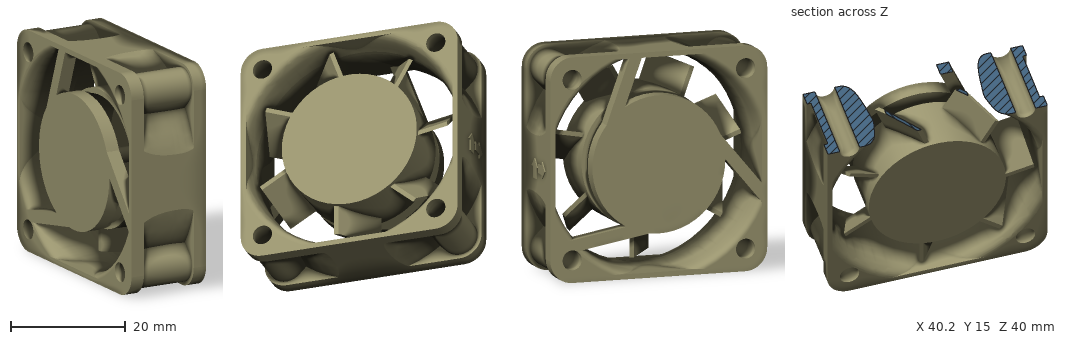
import cadquery as cq
import math


side = 40.0
depth = 15.0
corner_radius = 4.0
flange_thickness = 2.5
wall_thickness = 0.92
screw_offset = 16.0
screw_radius = 1.75
post_radius = 3.3

front_y = -depth / 2
rear_y = depth / 2
gap_front_y = front_y + flange_thickness
gap_rear_y = rear_y - flange_thickness
opening_side = side - 2 * wall_thickness

throat_front_y = 1.45
throat_rear_y = 2.4
throat_radius = 18.95
duct_radius = 20.62
flare = 2.0
flare_start_reach = 0.7
flare_end_bulge = 0.6
bore_start_bulge = 0.4
duct_start_bulge = 0.0

plate_radius = 12.25
plate_thickness = flange_thickness
plate_rear_y = front_y + plate_thickness
strut_count = 3
strut_width = 2.17
strut_offset = 10.57
strut_tilt = 20.0

arrow_height = 0.2
arrow_length = 3.58
arrow_head_length = 1.53
arrow_head_width = 3.05
arrow_tail_width = 1.6
arrow_middle_z = -0.52
upright_arrow_y = 0.35

cup_radius = 12.45
cup_wall = 1.0
cup_front_y = -2.37
cup_floor_y = 6.4
cup_inner_radius = cup_radius - cup_wall
cup_rear_y = cup_floor_y + cup_wall
shaft_radius = 1.4
blade_count = 7
first_blade_angle = -90.0
blade_step = -50.0
blade_tip_radius = 17.6
blade_front_y = -0.8
blade_rear_y = 6.65
blade_span = 6.1
blade_edge = 0.8


def facing_front(y):
    """Sketch plane across the fan axis; a negative extrusion runs toward the rear."""
    return cq.Workplane("XZ", origin=(0, y, 0))


def square_block(y_start, length, width):
    return facing_front(y_start).rect(width, width).extrude(-length)


def flare_curve(radius, start_bulge, throat_y, face_y):
    """Control points of the curve that opens slowly from the throat and turns outward at the face."""
    return [
        (radius, throat_y),
        (radius + start_bulge, throat_y + flare_start_reach * (face_y - throat_y)),
        (radius + flare_end_bulge, face_y),
        (radius + flare, face_y),
    ]


def flared_solid(radius, start_bulge):
    """Solid of revolution with a short straight throat and a flare to each face."""
    front_curve = flare_curve(radius, start_bulge, throat_front_y, front_y)
    rear_curve = flare_curve(radius, start_bulge, throat_rear_y, rear_y)
    return (
        cq.Workplane("XY")
        .moveTo(0, front_y)
        .lineTo(radius + flare, front_y)
        .bezier(front_curve[::-1])
        .lineTo(radius, throat_rear_y)
        .bezier(rear_curve)
        .lineTo(0, rear_y)
        .close()
        .revolve(360, (0, 0), (0, 1))
    )


def make_flange(y_start):
    return square_block(y_start, flange_thickness, side).edges("|Y").fillet(corner_radius)


def make_post(angle):
    """Screw post with a web that reaches from its hole in to the duct; angle is turned from +X toward +Z."""
    hole_distance = screw_offset * math.sqrt(2)
    web_length = hole_distance - throat_radius
    post_height = gap_rear_y - gap_front_y
    round_end = facing_front(gap_front_y).center(hole_distance, 0).circle(post_radius).extrude(-post_height)
    web = (
        facing_front(gap_front_y)
        .center(hole_distance - web_length / 2, 0)
        .rect(web_length, 2 * post_radius)
        .extrude(-post_height)
    )
    return round_end.union(web).rotate((0, 0, 0), (0, -1, 0), angle)


def make_strut(angle):
    """Bar from the motor plate to the frame, level and above the axis before it is turned."""
    strut_length = side / 2
    bar = (
        facing_front(front_y)
        .center(strut_length / 2, strut_offset)
        .rect(strut_length, strut_width)
        .extrude(-plate_thickness)
    )
    return bar.rotate((0, 0, 0), (0, -1, 0), angle).intersect(make_flange(front_y))


def make_arrow():
    """Raised arrow on the -X side, pointing up, with the middle of its head base at Y = Z = 0."""
    half_head = arrow_head_width / 2
    half_tail = arrow_tail_width / 2
    tail_length = arrow_length - arrow_head_length
    outline = [
        (0, arrow_head_length),
        (half_head, 0),
        (half_tail, 0),
        (half_tail, -tail_length),
        (-half_tail, -tail_length),
        (-half_tail, 0),
        (-half_head, 0),
    ]
    return (
        cq.Workplane("YZ", origin=(-side / 2, 0, 0))
        .polyline(outline)
        .close()
        .extrude(-arrow_height)
    )


def make_housing():
    body = flared_solid(duct_radius, duct_start_bulge).intersect(square_block(front_y, depth, side))
    body = body.union(make_flange(front_y)).union(make_flange(gap_rear_y))
    for quarter in range(4):
        body = body.union(make_post(45 + 90 * quarter))

    bore = flared_solid(throat_radius, bore_start_bulge).intersect(square_block(front_y, depth, opening_side))
    body = body.cut(bore)

    body = body.union(facing_front(front_y).circle(plate_radius).extrude(-plate_thickness))
    for index in range(strut_count):
        body = body.union(make_strut(90 - strut_tilt + index * 360 / strut_count))

    screw_holes = (
        facing_front(front_y)
        .rect(2 * screw_offset, 2 * screw_offset, forConstruction=True)
        .vertices()
        .circle(screw_radius)
        .extrude(-depth)
    )
    body = body.cut(screw_holes)

    level_arrow_y = gap_front_y + arrow_head_length
    upright_arrow = make_arrow().translate((0, upright_arrow_y, arrow_middle_z))
    level_arrow = make_arrow().rotate((0, 0, 0), (1, 0, 0), 90).translate((0, level_arrow_y, arrow_middle_z))
    return body.union(upright_arrow).union(level_arrow)


def make_blade(angle):
    """Flat slanted blade with its two narrow edges square to the fan axis."""
    half_span = blade_span / 2
    outline = [
        (half_span, blade_front_y),
        (half_span - blade_edge, blade_front_y),
        (-half_span, blade_rear_y),
        (blade_edge - half_span, blade_rear_y),
    ]
    return (
        cq.Workplane("XY", origin=(0, 0, cup_inner_radius))
        .polyline(outline)
        .close()
        .extrude(blade_tip_radius - cup_inner_radius)
        .rotate((0, 0, 0), (0, -1, 0), angle - 90)
    )


def make_rotor():
    blades = make_blade(first_blade_angle)
    for index in range(1, blade_count):
        blades = blades.union(make_blade(first_blade_angle + index * blade_step))
    cup = facing_front(cup_front_y).circle(cup_radius).extrude(cup_front_y - cup_rear_y)
    recess = facing_front(cup_front_y).circle(cup_inner_radius).extrude(cup_front_y - cup_floor_y)
    shaft = facing_front(plate_rear_y).circle(shaft_radius).extrude(plate_rear_y - cup_floor_y)
    return cup.union(blades).cut(recess).union(shaft)


housing = make_housing()
rotor = make_rotor()

result = cq.Compound.makeCompound([housing.solids().val(), rotor.solids().val()])